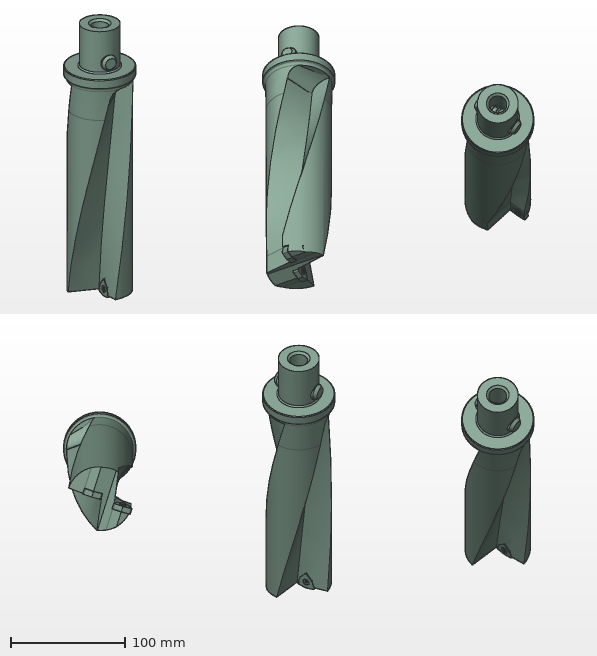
import cadquery as cq
import math

TOTAL_LENGTH = 260.0

SHANK_RADIUS = 18.0
SHANK_BASE_CHAMFER = 1.3
FLANGE_RADIUS = 31.7
FLANGE_TOP = 219.7
FLANGE_BOTTOM = 210.5
FLANGE_CHAMFER = 0.8
NECK_RADIUS = 29.5
NECK_TOP = 207.5
FLUTED_DIAMETER = 57.5
FLUTED_RADIUS = FLUTED_DIAMETER / 2
NECK_TAPER_END = 179.5

BORE_RADIUS = 7.8
BORE_CHAMFER = 2.0

PIN_HEIGHT = 229.3
PIN_RADIUS = 7.3
PIN_REACH = 21.5
PIN_TIP_RADIUS = 5.2
PIN_TIP_LENGTH = 3.0
PIN_COLLAR_RADIUS = 6.8
PIN_COLLAR_END = 2.0
PIN_NECK_RADIUS = 5.2
PIN_NECK_END = 6.0

FLUTE_TOP = 192.5
RUNOUT_RADIUS = NECK_TOP - FLUTE_TOP
RUNOUT_TILT = 4.0
RUNOUT_LEAD = 4.0
CORE_RADIUS = 13.5
STRAIGHT_FLUTE_LENGTH = 22.5
FLUTE_STATIONS = 9
CUT_MARGIN = 2.5
CUT_REACH = 2 * FLUTED_RADIUS
CUT_STRETCH = 1.5

INNER_FLUTE = {
    "twist_start": 0.0,
    "radial_wall": (0.0, 58.0),
    "back_wall": (-104.0, -12.0),
    "core": (-1.8, CORE_RADIUS),
}
OUTER_FLUTE = {
    "twist_start": STRAIGHT_FLUTE_LENGTH,
    "radial_wall": (180.0, 268.0),
    "back_wall": (108.0, 188.5),
    "core": (CORE_RADIUS, CORE_RADIUS),
}

INSERT_THICKNESS = 5.2
INSERT_CORNER_DISTANCE = 10.1
INSERT_MIDDLE_DISTANCE = 6.8
INSERT_NOSE_RADIUS = 1.3
INNER_INSERT_X = 7.3
OUTER_INSERT_X = -21.3
INSERT_HEIGHT = INSERT_MIDDLE_DISTANCE
OUTER_RELIEF_X = -27.0
OUTER_RELIEF_HEIGHT = 9.4

SEAT_RADIUS = 3.0
HEAD_RECESS = 0.3
SCREW_RADIUS = 1.95
SCREW_LENGTH = 17.2
HEAD_DEPTH = HEAD_RECESS + SEAT_RADIUS - SCREW_RADIUS
SOCKET_WIDTH = 2.3
SOCKET_DEPTH = 1.3

TIP_PROFILE = [
    (-FLUTED_RADIUS, 2.0),
    (OUTER_INSERT_X, 1.0),
    (-13.5, 3.0),
    (-6.5, 4.5),
    (INNER_INSERT_X, 1.0),
    (15.3, 3.5),
    (FLUTED_RADIUS, 5.0),
]


def polar(radius, angle):
    """Point at a radius and an angle in degrees, counted from +X."""
    return radius * math.cos(math.radians(angle)), radius * math.sin(math.radians(angle))


def turned_body():
    """Shank, flange and fluted length as one revolved outline."""
    fillet_size = FLANGE_BOTTOM - NECK_TOP
    fillet_start = FLANGE_RADIUS - FLANGE_CHAMFER
    fillet_middle = (
        NECK_RADIUS + (fillet_start - NECK_RADIUS) * (1 - math.sqrt(0.5)),
        NECK_TOP + fillet_size * math.sqrt(0.5),
    )
    return (
        cq.Workplane("XZ")
        .moveTo(0, 0)
        .lineTo(FLUTED_RADIUS, 0)
        .lineTo(FLUTED_RADIUS, NECK_TAPER_END)
        .lineTo(NECK_RADIUS, NECK_TOP)
        .threePointArc(fillet_middle, (fillet_start, FLANGE_BOTTOM))
        .lineTo(FLANGE_RADIUS, FLANGE_BOTTOM + FLANGE_CHAMFER)
        .lineTo(FLANGE_RADIUS, FLANGE_TOP - FLANGE_CHAMFER)
        .lineTo(FLANGE_RADIUS - FLANGE_CHAMFER, FLANGE_TOP)
        .lineTo(SHANK_RADIUS + SHANK_BASE_CHAMFER, FLANGE_TOP)
        .lineTo(SHANK_RADIUS, FLANGE_TOP + SHANK_BASE_CHAMFER)
        .lineTo(SHANK_RADIUS, TOTAL_LENGTH)
        .lineTo(0, TOTAL_LENGTH)
        .close()
        .revolve(360, (0, 0), (0, 1))
    )


def shank_bore():
    """Chamfered blind bore from the shank end down to the flange."""
    return (
        cq.Workplane("XZ")
        .moveTo(0, FLANGE_TOP)
        .lineTo(BORE_RADIUS, FLANGE_TOP)
        .lineTo(BORE_RADIUS, TOTAL_LENGTH - BORE_CHAMFER)
        .lineTo(BORE_RADIUS + BORE_CHAMFER, TOTAL_LENGTH)
        .lineTo(0, TOTAL_LENGTH)
        .close()
        .revolve(360, (0, 0), (0, 1))
    )


def tip_waste():
    """Material below the tip face, swept straight along Y."""
    left_end = (-CUT_REACH, TIP_PROFILE[0][1])
    right_end = (CUT_REACH, TIP_PROFILE[-1][1])
    bottom = [(CUT_REACH, -CUT_MARGIN), (-CUT_REACH, -CUT_MARGIN)]
    outline = [left_end] + TIP_PROFILE + [right_end] + bottom
    return cq.Workplane("XZ").polyline(outline).close().extrude(CUT_REACH, both=True)


def flute_points(flute, height):
    """Corner, back wall end, outer point and radial wall end of the flute section at a height."""
    share = (height - flute["twist_start"]) / (FLUTE_TOP - flute["twist_start"])
    radial, back, core = (
        start + share * (end - start)
        for start, end in (flute["radial_wall"], flute["back_wall"], flute["core"])
    )
    corner = polar(core, radial)
    back_rim = polar(FLUTED_RADIUS, back)
    back_end = tuple(c + CUT_STRETCH * (rim - c) for c, rim in zip(corner, back_rim))
    outer = polar(CUT_REACH, (radial + back) / 2)
    radial_end = polar(CUT_STRETCH * FLUTED_RADIUS, radial)
    return [corner, back_end, outer, radial_end]


def twisted_cutter(flute):
    """Smooth loft through the flute sections from the start of the twist up to the neck."""
    bottom = flute["twist_start"]
    wires = []
    for station in range(FLUTE_STATIONS):
        height = bottom + (NECK_TOP - bottom) * station / (FLUTE_STATIONS - 1)
        points = [cq.Vector(x, y, height) for x, y in flute_points(flute, height)]
        wires.append(cq.Wire.makePolygon(points, close=True))
    return cq.Workplane(cq.Solid.makeLoft(wires))


def straight_cutter(flute):
    """Untwisted stretch of the flute from below the tip up to where the twist starts."""
    return (
        cq.Workplane("XY", origin=(0, 0, -CUT_MARGIN))
        .polyline(flute_points(flute, flute["twist_start"]))
        .close()
        .extrude(flute["twist_start"] + CUT_MARGIN)
    )


def runout_stop(flute):
    """Material left standing above a flute, with a hollow flank that curves outward to the neck.

    The hollow is a roller of RUNOUT_RADIUS, tilted up toward the rim. It lies along the back wall
    as it runs RUNOUT_LEAD above the flute top, so that the roller meets the whole twisted wall.
    """
    corner, back_end, _, _ = flute_points(flute, FLUTE_TOP + RUNOUT_LEAD)
    along = cq.Vector(back_end[0] - corner[0], back_end[1] - corner[1], 0).normalized()
    outward = cq.Vector(0, 0, 1).cross(along)
    rise = cq.Vector(0, 0, math.tan(math.radians(RUNOUT_TILT)))
    axis_point = cq.Vector(*corner, FLUTE_TOP) + outward * RUNOUT_RADIUS
    frame = cq.Plane(origin=axis_point, xDir=outward, normal=along + rise)
    side = 2 * CUT_REACH
    block = cq.Workplane(frame).center(0, CUT_REACH).rect(side, side).extrude(CUT_REACH, both=True)
    roller = cq.Workplane(frame).circle(RUNOUT_RADIUS).extrude(CUT_REACH, both=True)
    return block.cut(roller)


def insert_frame(center_x, facing):
    """Plane on an insert's cutting face: local Y is up, the normal points into the body.

    Facing is 1 when the body lies on the +Y side of the face and -1 when it lies on the -Y side.
    """
    return cq.Plane(origin=(center_x, 0, INSERT_HEIGHT), xDir=(-facing, 0, 0), normal=(0, facing, 0))


def trigon_prism(frame):
    """Sharp six-sided insert blank with one corner pointing up the drill."""
    points = []
    for side in range(6):
        distance = INSERT_MIDDLE_DISTANCE if side % 2 else INSERT_CORNER_DISTANCE
        points.append(polar(distance, 90 + 60 * side))
    return cq.Workplane(frame).polyline(points).close().extrude(INSERT_THICKNESS)


def screw_shape(frame, head_start, head_radius):
    """Countersunk screw outline: a 45 degree head from head_start deep, then the shank."""
    head = cq.Solid.makeCone(
        head_radius, SCREW_RADIUS, HEAD_DEPTH - head_start,
        frame.origin + frame.zDir * head_start, frame.zDir,
    )
    shank = cq.Solid.makeCylinder(
        SCREW_RADIUS, SCREW_LENGTH - HEAD_DEPTH, frame.origin + frame.zDir * HEAD_DEPTH, frame.zDir
    )
    return cq.Workplane(head.fuse(shank))


def make_insert(frame):
    """Trigon insert with rounded noses and a countersunk screw hole."""
    blank = trigon_prism(frame)
    center = frame.origin + frame.zDir * (INSERT_THICKNESS / 2)
    nose_reach = (INSERT_CORNER_DISTANCE + INSERT_MIDDLE_DISTANCE) / 2
    nose_edges = [
        edge for edge in blank.edges("|Y").vals() if (edge.Center() - center).Length > nose_reach
    ]
    rounded = blank.newObject(nose_edges).fillet(INSERT_NOSE_RADIUS)
    return rounded.cut(screw_shape(frame, 0, SEAT_RADIUS))


def make_insert_screw(frame):
    """Insert screw with its head just below the cutting face and a hexagonal socket."""
    socket = (
        cq.Workplane(frame)
        .polygon(6, SOCKET_WIDTH)
        .extrude(HEAD_RECESS + SOCKET_DEPTH)
    )
    return screw_shape(frame, HEAD_RECESS, SEAT_RADIUS - HEAD_RECESS).cut(socket)


def outer_insert_relief():
    """Opening through the rim beside the outer insert."""
    return cq.Workplane("XY").box(
        CUT_REACH, INSERT_THICKNESS, OUTER_RELIEF_HEIGHT, centered=False
    ).translate((OUTER_RELIEF_X - CUT_REACH, -INSERT_THICKNESS, 0))


def pin_hole():
    """Cross hole through the shank along X."""
    return (
        cq.Workplane("YZ", origin=(0, 0, PIN_HEIGHT))
        .circle(PIN_RADIUS)
        .extrude(SHANK_RADIUS, both=True)
    )


def turned_pin(outline):
    """Pin revolved about the cross hole axis from (X, radius) points."""
    return (
        cq.Workplane("XZ", origin=(0, 0, PIN_HEIGHT))
        .polyline(outline)
        .close()
        .revolve(360, (0, 0), (1, 0))
    )


def make_drive_pin():
    """Pin on the -X side: plain cylinder with a conical tip, ending at the drill axis."""
    return turned_pin([
        (0, 0),
        (0, PIN_RADIUS),
        (-PIN_REACH + PIN_TIP_LENGTH, PIN_RADIUS),
        (-PIN_REACH, PIN_TIP_RADIUS),
        (-PIN_REACH, 0),
    ])


def make_counter_pin():
    """Pin on the +X side: a collar against the drive pin, a thin neck and a conical tip."""
    return turned_pin([
        (0, 0),
        (0, PIN_COLLAR_RADIUS),
        (PIN_COLLAR_END, PIN_COLLAR_RADIUS),
        (PIN_COLLAR_END, PIN_NECK_RADIUS),
        (PIN_NECK_END, PIN_NECK_RADIUS),
        (PIN_NECK_END, PIN_RADIUS),
        (PIN_REACH - PIN_TIP_LENGTH, PIN_RADIUS),
        (PIN_REACH, PIN_TIP_RADIUS),
        (PIN_REACH, 0),
    ])


def make_drill_body(frames):
    """Turned body with its bore, flutes, tip face, insert pockets and screw holes."""
    body = turned_body().cut(shank_bore()).cut(pin_hole())
    for flute in (INNER_FLUTE, OUTER_FLUTE):
        body = body.cut(straight_cutter(flute))
        body = body.cut(twisted_cutter(flute).cut(runout_stop(flute)))
    body = body.cut(tip_waste()).cut(outer_insert_relief())
    for frame in frames:
        body = body.cut(trigon_prism(frame)).cut(screw_shape(frame, 0, SEAT_RADIUS))
    return body


insert_frames = [insert_frame(INNER_INSERT_X, 1), insert_frame(OUTER_INSERT_X, -1)]
drill_body = make_drill_body(insert_frames)
drive_pin = make_drive_pin()
counter_pin = make_counter_pin()
inserts = [make_insert(frame) for frame in insert_frames]
insert_screws = [make_insert_screw(frame) for frame in insert_frames]

result = cq.Compound.makeCompound(
    [drill_body.val(), drive_pin.val(), counter_pin.val()]
    + [insert.val() for insert in inserts]
    + [screw.val() for screw in insert_screws]
)